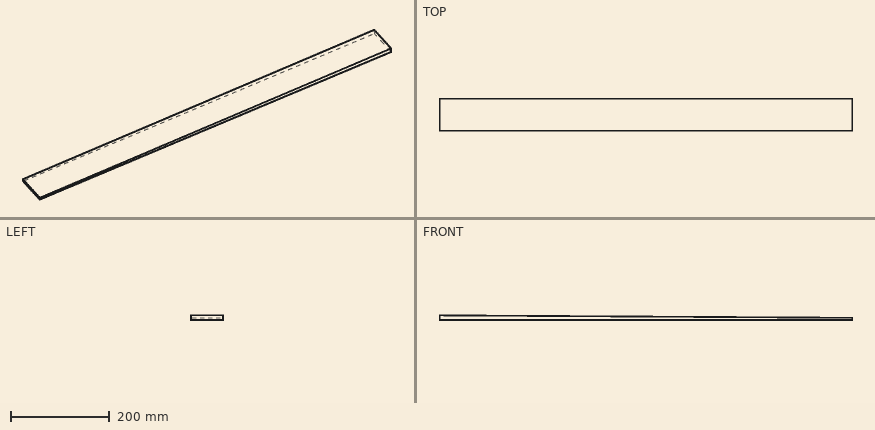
import cadquery as cq

length = 835.0
width = 65.0
thick_end = 10.0
thin_end = 5.0

profile = [
    (-length / 2, 0),
    (length / 2, 0),
    (length / 2, thin_end),
    (-length / 2, thick_end),
]

result = cq.Workplane("XZ").polyline(profile).close().extrude(width / 2, both=True)